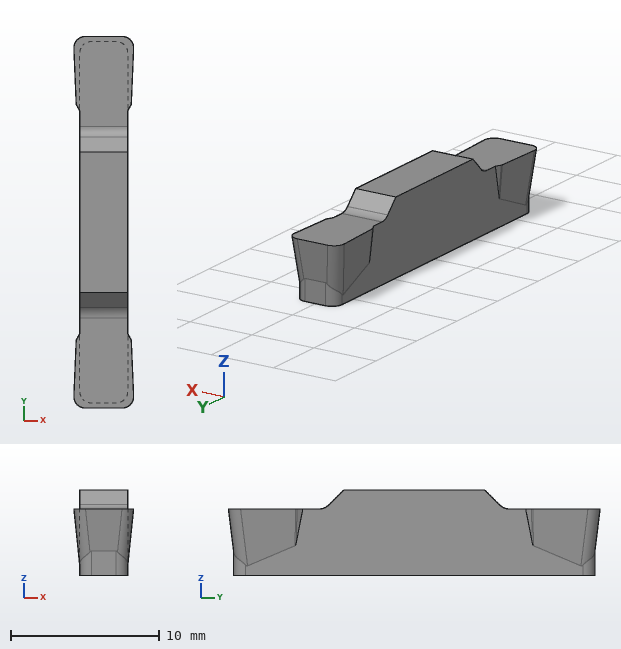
import cadquery as cq
import math


total_length = 25.1
total_height = 5.79
cutting_width = 4.05

shank_width = 3.25
seat_height = 4.5
raised_top_length = 9.5
ramp_angle = 45.0
ramp_foot_radius = 1.0
corner_radius = 0.8

front_clearance_angle = 7.0
front_flank_depth = 2.85
side_clearance_angle = 5.65
side_back_taper = 2.4
head_length = 5.03
shoulder_angle = 29.0
shoulder_lean = 0.195
shoulder_edge_radius = 0.2
head_depth = 4.2
buried_half_width = 1.2

half_length = total_length / 2
half_shank = shank_width / 2
front_slope = math.tan(math.radians(front_clearance_angle))
shank_half_length = half_length - front_flank_depth * front_slope
side_slope = math.tan(math.radians(side_clearance_angle))
taper_slope = math.tan(math.radians(side_back_taper))
shoulder_slope = math.tan(math.radians(shoulder_angle))


def make_shank():
    """Side profile of the shank, extruded across its width, with rounded upright corners."""
    angle = math.radians(ramp_angle)
    foot_rise = ramp_foot_radius * (1 - math.cos(angle))
    foot_run = ramp_foot_radius * math.sin(angle)
    top_y = raised_top_length / 2
    foot_end_z = seat_height + foot_rise
    foot_end_y = top_y + (total_height - foot_end_z) / math.tan(angle)
    foot_start_y = foot_end_y + foot_run
    foot_middle = (
        foot_start_y - ramp_foot_radius * math.sin(angle / 2),
        seat_height + ramp_foot_radius * (1 - math.cos(angle / 2)),
    )
    half_profile = (
        cq.Workplane("YZ")
        .moveTo(0, 0)
        .lineTo(shank_half_length, 0)
        .lineTo(shank_half_length, seat_height)
        .lineTo(foot_start_y, seat_height)
        .threePointArc(foot_middle, (foot_end_y, foot_end_z))
        .lineTo(top_y, total_height)
        .lineTo(0, total_height)
        .close()
        .extrude(half_shank, both=True)
    )
    half_shank_body = half_profile.faces(">Y").edges("|Z").fillet(corner_radius)
    return half_shank_body.union(half_shank_body.mirror("XZ"))


def head_outline(depth):
    """Plan corners of the sharp-cornered head at a depth below the cutting face."""
    taper = math.radians(side_back_taper)
    sharp_half_width = cutting_width / 2 + corner_radius * (taper_slope + 1 / math.cos(taper) - 1)

    def side_x(distance):
        return sharp_half_width - taper_slope * distance - side_slope * depth

    front = front_slope * depth
    shoulder_foot = head_length - shoulder_lean * depth
    shoulder_start = (half_shank + shoulder_slope * shoulder_foot - side_x(0)) / (shoulder_slope - taper_slope)
    rear = shoulder_foot + (half_shank - buried_half_width) / shoulder_slope
    right_side = [
        (side_x(front), front - half_length),
        (side_x(shoulder_start), shoulder_start - half_length),
        (buried_half_width, rear - half_length),
    ]
    left_side = [(-x, y) for x, y in reversed(right_side)]
    return right_side + left_side


def make_head():
    """Head at the -Y end, flaring up from inside the shank to the cutting face."""
    top = [cq.Vector(x, y, seat_height) for x, y in head_outline(0)]
    bottom = [cq.Vector(x, y, seat_height - head_depth) for x, y in head_outline(head_depth)]
    rings = [top, bottom]
    for index in range(len(top)):
        rings.append([top[index - 1], top[index], bottom[index], bottom[index - 1]])
    faces = [cq.Face.makeFromWires(cq.Wire.makePolygon(ring, close=True)) for ring in rings]
    head = cq.Workplane(cq.Solid.makeSolid(cq.Shell.makeShell(faces)))
    shoulder_edges = head.edges("not #Z").sort(lambda edge: edge.Center().y)[2:4]
    head = shoulder_edges.fillet(shoulder_edge_radius)
    corner_edges = head.edges("not #Z").sort(lambda edge: edge.Center().y)[:2]
    return corner_edges.fillet(corner_radius)


head = make_head()
result = make_shank().union(head).union(head.mirror("XZ"))